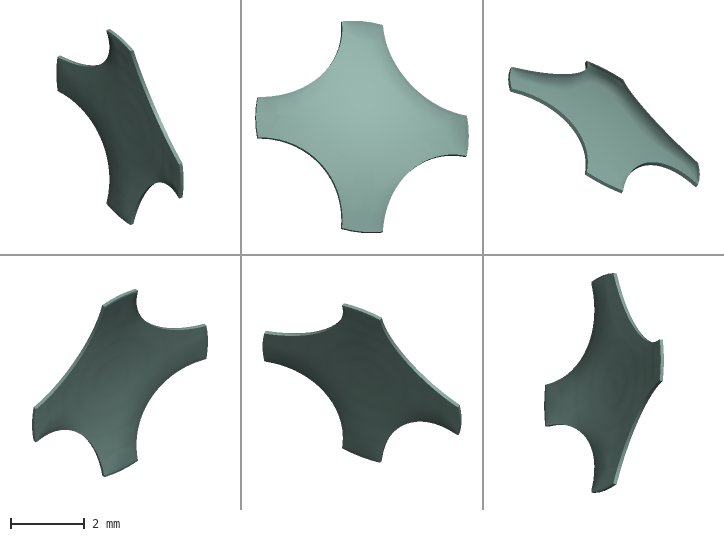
import cadquery as cq
import math

rim_radius = 2.995
dome_height = 0.52
rim_height = 0.095
shell_thickness = 0.11
cutout_radius = 2.31
cutout_offset = 2.89

dome_rise = dome_height - rim_height
outer_radius = (rim_radius**2 + dome_rise**2) / (2 * dome_rise)
inner_radius = outer_radius - shell_thickness
sphere_center_y = dome_height - outer_radius

inner_rim_radius = math.sqrt(inner_radius**2 - sphere_center_y**2)


def sphere_point(radius, distance_from_axis):
    """Point in the XY plane on a sphere centred on the dome axis."""
    height = sphere_center_y + math.sqrt(radius**2 - distance_from_axis**2)
    return (distance_from_axis, height)


def make_dome():
    """Revolve the shell section around the Y axis."""
    return (
        cq.Workplane("XY")
        .moveTo(inner_rim_radius, 0)
        .lineTo(rim_radius, 0)
        .lineTo(rim_radius, rim_height)
        .threePointArc(sphere_point(outer_radius, rim_radius / 2), (0, dome_height))
        .lineTo(0, dome_height - shell_thickness)
        .threePointArc(sphere_point(inner_radius, rim_radius / 2), (inner_rim_radius, 0))
        .close()
        .revolve(360, (0, 0, 0), (0, 1, 0))
    )


def make_cutouts():
    """Four cylinders along Y that leave the arms between them."""
    cutout_spacing = 2 * cutout_offset
    return (
        cq.Workplane("XZ")
        .rarray(cutout_spacing, cutout_spacing, 2, 2)
        .circle(cutout_radius)
        .extrude(2 * dome_height, both=True)
    )


result = make_dome().cut(make_cutouts())